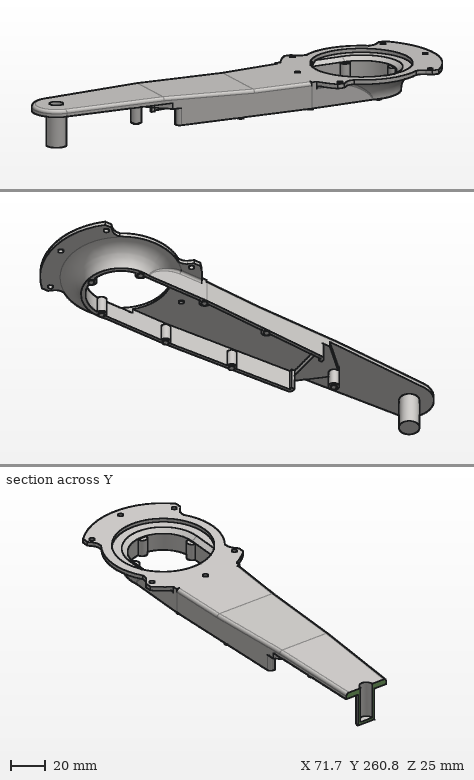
import cadquery as cq
import math


PLATE_THICKNESS = 2.5
RING_DIAMETER = 71.7
HEAD_RADIUS = 47.0
EAR_HALF_WIDTH = 33.5
EAR_INNER_Y = 28.7
NOTCH_START = (30.8, 25.8)
NOTCH_MIDDLE = (29.5, 22.5)
NOTCH_END = (31.8, 16.5)
BOLT_CIRCLE_RADIUS = 41.7
BOLT_HOLE_DIAMETER = 3.0
BOLT_ANGLES = (45, 90, 135, 225, 270, 315)

RECESS_DIAMETER = 59.5
RECESS_DEPTH = 2.3
FUNNEL_RADIUS = 24.0
FUNNEL_DEPTH = 2.3
CUP_INNER_RADIUS = 20.5
CUP_OUTER_RADIUS = 23.2
FLARE_TOP_RADIUS = 35.5

BODY_BOTTOM = -16.0
WALL_THICKNESS = 2.0
ROOT_FILLET = 1.5
ARM_START_Y = -44.3
ARM_START_HALF_WIDTH = CUP_INNER_RADIUS + WALL_THICKNESS
TIP_Y = -199.5
TIP_RADIUS = 14.3
TIP_TOP = 2.3
TIP_UNDERSIDE = -1.8
RAMP_START_Y = -80.9
RAMP_END_Y = -138.2
WALL_END_Y = -129.6
SKIRT_END_Y = -132.8
SKIRT_BOTTOM = -5.5
EDGE_FILLET = 1.95
RETURN_HALF_GAP = 14.3
RETURN_CORNER_RADIUS = 2.3
GUSSET_END_Y = -148.2
EDGE_REACH = 0.3

COLUMN_DIAMETER = 6.3
COLUMN_TOP = -5.2
COLUMN_OFFSET = 20.5
FOOT_DIAMETER = 3.7
FOOT_HEIGHT = 0.8
FRONT_COLUMN_Y = -147.4
MID_COLUMN = (18.5, -88.7)
PIN_DIAMETER = 12.0
PIN_BOTTOM = -22.7
PIN_HOLE_DIAMETER = 8.0
PIN_FLOOR = 2.0

WALL_COLUMNS = [
    (COLUMN_OFFSET, 0),
    (-COLUMN_OFFSET, 0),
    (0, COLUMN_OFFSET),
    (COLUMN_OFFSET, ARM_START_Y),
    (-COLUMN_OFFSET, ARM_START_Y),
    MID_COLUMN,
    (-MID_COLUMN[0], MID_COLUMN[1]),
]
FRONT_COLUMN = [(0, FRONT_COLUMN_Y)]

tangent_length = math.sqrt(ARM_START_HALF_WIDTH**2 + (ARM_START_Y - TIP_Y)**2 - TIP_RADIUS**2)
tangent_tilt = (math.atan2(ARM_START_HALF_WIDTH, ARM_START_Y - TIP_Y)
                - math.atan2(TIP_RADIUS, tangent_length))
tangent_x = TIP_RADIUS * math.cos(tangent_tilt)
tangent_y = TIP_Y - TIP_RADIUS * math.sin(tangent_tilt)


def arm_half_width(y):
    """Half-width of the tapered arm at a given y."""
    return ARM_START_HALF_WIDTH + (y - ARM_START_Y) * math.tan(tangent_tilt)


def cylinders(points, diameter, bottom, top):
    """Upright cylinders at the given points."""
    return (cq.Workplane("XY", origin=(0, 0, bottom))
            .pushPoints(points).circle(diameter / 2).extrude(top - bottom))


def prism(points, bottom, top):
    """Upright prism over a closed polygon."""
    return cq.Workplane("XY", origin=(0, 0, bottom)).polyline(points).close().extrude(top - bottom)


def mirrored(half_outline):
    """Complete an outline from its +X half, in order around the loop."""
    return half_outline + [(-x, y) for x, y in reversed(half_outline)]


def make_ring_plate():
    """Flat plate: a ring with round-ended lobes that carry the bolt ears, joined to the arm."""
    lobes = cylinders([(0, 0)], 2 * HEAD_RADIUS, -PLATE_THICKNESS, 0)
    side_trim = cq.Workplane("XY").box(2 * EAR_HALF_WIDTH, 2 * HEAD_RADIUS, 2 * PLATE_THICKNESS)
    lobes = lobes.intersect(side_trim)
    notch = (cq.Workplane("XY", origin=(0, 0, -PLATE_THICKNESS))
             .moveTo(EAR_HALF_WIDTH, EAR_INNER_Y)
             .lineTo(*NOTCH_START)
             .threePointArc(NOTCH_MIDDLE, NOTCH_END)
             .lineTo(NOTCH_END[0], -NOTCH_END[1])
             .threePointArc((NOTCH_MIDDLE[0], -NOTCH_MIDDLE[1]), (NOTCH_START[0], -NOTCH_START[1]))
             .lineTo(EAR_HALF_WIDTH, -EAR_INNER_Y)
             .close().extrude(PLATE_THICKNESS))
    lobes = lobes.cut(notch).cut(notch.mirror("YZ"))
    ring = cylinders([(0, 0)], RING_DIAMETER, -PLATE_THICKNESS, 0)
    root = (cq.Workplane("XY").box(2 * ARM_START_HALF_WIDTH, -ARM_START_Y, PLATE_THICKNESS)
            .translate((0, ARM_START_Y / 2, -PLATE_THICKNESS / 2)))
    return lobes.union(ring).union(root)


def make_bolt_holes():
    """Through holes in the plate, on the bolt circle."""
    bolt_points = [
        (BOLT_CIRCLE_RADIUS * math.cos(math.radians(angle)),
         BOLT_CIRCLE_RADIUS * math.sin(math.radians(angle)))
        for angle in BOLT_ANGLES
    ]
    return cylinders(bolt_points, BOLT_HOLE_DIAMETER, -PLATE_THICKNESS, 0)


def make_arm():
    """Outer form of the arm before it is hollowed."""
    plan = (cq.Workplane("XY", origin=(0, 0, BODY_BOTTOM))
            .moveTo(ARM_START_HALF_WIDTH, 0)
            .lineTo(ARM_START_HALF_WIDTH, ARM_START_Y)
            .lineTo(tangent_x, tangent_y)
            .threePointArc((0, TIP_Y - TIP_RADIUS), (-tangent_x, tangent_y))
            .lineTo(-ARM_START_HALF_WIDTH, ARM_START_Y)
            .lineTo(-ARM_START_HALF_WIDTH, 0)
            .close().extrude(TIP_TOP - BODY_BOTTOM))
    beyond_tip_y = TIP_Y - 2 * TIP_RADIUS
    side = (cq.Workplane("YZ")
            .polyline([
                (0, 0),
                (RAMP_START_Y, 0),
                (RAMP_END_Y, TIP_TOP),
                (beyond_tip_y, TIP_TOP),
                (beyond_tip_y, TIP_UNDERSIDE),
                (SKIRT_END_Y, TIP_UNDERSIDE),
                (SKIRT_END_Y, SKIRT_BOTTOM),
                (WALL_END_Y, SKIRT_BOTTOM),
                (WALL_END_Y, BODY_BOTTOM),
                (0, BODY_BOTTOM),
            ])
            .close().extrude(RING_DIAMETER, both=True))
    top_edges = cq.selectors.BoxSelector(
        (-RING_DIAMETER, 0, TIP_UNDERSIDE / 2), (RING_DIAMETER, beyond_tip_y, 2 * TIP_TOP))
    wall_ends = cq.selectors.BoxSelector(
        (-RING_DIAMETER, WALL_END_Y - EDGE_REACH, BODY_BOTTOM),
        (RING_DIAMETER, WALL_END_Y + EDGE_REACH, SKIRT_BOTTOM))
    arm = plan.intersect(side)
    arm = arm.edges(top_edges).edges("not (|X or |Z)").fillet(EDGE_FILLET)
    return arm.edges(wall_ends).edges("|Z").fillet(RETURN_CORNER_RADIUS)


def make_flare():
    """Solid cup under the ring, sweeping out in a concave curve to the plate."""
    rise = -PLATE_THICKNESS - BODY_BOTTOM
    reach = FLARE_TOP_RADIUS - CUP_OUTER_RADIUS
    diagonal = math.sqrt(0.5)
    curve_middle = (FLARE_TOP_RADIUS - reach * diagonal, BODY_BOTTOM + rise * diagonal)
    return (cq.Workplane("XZ")
            .moveTo(0, BODY_BOTTOM)
            .lineTo(CUP_OUTER_RADIUS, BODY_BOTTOM)
            .threePointArc(curve_middle, (FLARE_TOP_RADIUS, -PLATE_THICKNESS))
            .lineTo(0, -PLATE_THICKNESS)
            .close().revolve(360, (0, 0, 0), (0, 1, 0)))


def make_outer_body():
    """Arm, cup and ring plate as one solid, with the walls blended into the plate and the cup."""
    body = make_arm().union(make_flare()).union(make_ring_plate())
    for side in (-1, 1):
        wall_x = side * ARM_START_HALF_WIDTH
        root = cq.selectors.BoxSelector(
            (wall_x - EDGE_REACH, ARM_START_Y, -PLATE_THICKNESS - EDGE_REACH),
            (wall_x + EDGE_REACH, 0, -PLATE_THICKNESS + EDGE_REACH))
        body = body.edges(root).edges("|Y").fillet(ROOT_FILLET)
    return body


def slot(radius, end_y, bottom, height, taper=0):
    """Prism over a half disc whose straight sides run on to end_y."""
    return (cq.Workplane("XY", origin=(0, 0, bottom))
            .moveTo(radius, end_y)
            .lineTo(radius, 0)
            .threePointArc((0, radius), (-radius, 0))
            .lineTo(-radius, end_y)
            .close().extrude(height, taper=taper))


def make_cavity():
    """Hollow under the arm, open at the front between the two wall returns."""
    return_y = WALL_END_Y + WALL_THICKNESS
    front_half_width = arm_half_width(return_y) - WALL_THICKNESS
    half_outline = [
        (CUP_INNER_RADIUS, 0),
        (CUP_INNER_RADIUS, ARM_START_Y),
        (front_half_width, return_y),
        (RETURN_HALF_GAP, return_y),
        (RETURN_HALF_GAP, SKIRT_END_Y),
    ]
    arm_hollow = prism(mirrored(half_outline), BODY_BOTTOM, TIP_UNDERSIDE)
    cup_hollow = slot(CUP_INNER_RADIUS, -CUP_INNER_RADIUS, BODY_BOTTOM, TIP_UNDERSIDE - BODY_BOTTOM)
    columns = cylinders(WALL_COLUMNS, COLUMN_DIAMETER, BODY_BOTTOM, COLUMN_TOP)
    return arm_hollow.union(cup_hollow).cut(columns)


def make_recess():
    """Bearing recess with a funnel leading down into the cup."""
    seat = cylinders([(0, 0)], RECESS_DIAMETER, -RECESS_DEPTH, 0)
    slope = math.degrees(math.atan((FUNNEL_RADIUS - CUP_INNER_RADIUS) / FUNNEL_DEPTH))
    funnel = slot(FUNNEL_RADIUS, -RECESS_DIAMETER, -RECESS_DEPTH, -FUNNEL_DEPTH, slope)
    below_seat = cylinders([(0, 0)], RECESS_DIAMETER, BODY_BOTTOM, 0)
    return seat.union(funnel.intersect(below_seat))


def make_gusset():
    """Web under the arm that narrows from the wall ends to the front column."""
    half_outline = [
        (RETURN_HALF_GAP, WALL_END_Y),
        (arm_half_width(SKIRT_END_Y), SKIRT_END_Y),
        (COLUMN_DIAMETER / 2, GUSSET_END_Y),
    ]
    return prism(mirrored(half_outline), SKIRT_BOTTOM, TIP_UNDERSIDE)


tip_point = [(0, TIP_Y)]

result = (
    make_outer_body()
    .cut(make_cavity())
    .cut(make_recess())
    .cut(make_bolt_holes())
    .union(make_gusset())
    .union(cylinders(FRONT_COLUMN, COLUMN_DIAMETER, BODY_BOTTOM, TIP_UNDERSIDE))
    .union(cylinders(WALL_COLUMNS + FRONT_COLUMN, FOOT_DIAMETER, BODY_BOTTOM - FOOT_HEIGHT, BODY_BOTTOM))
    .union(cylinders(tip_point, PIN_DIAMETER, PIN_BOTTOM, TIP_UNDERSIDE))
    .cut(cylinders(tip_point, PIN_HOLE_DIAMETER, PIN_BOTTOM + PIN_FLOOR, TIP_TOP))
)